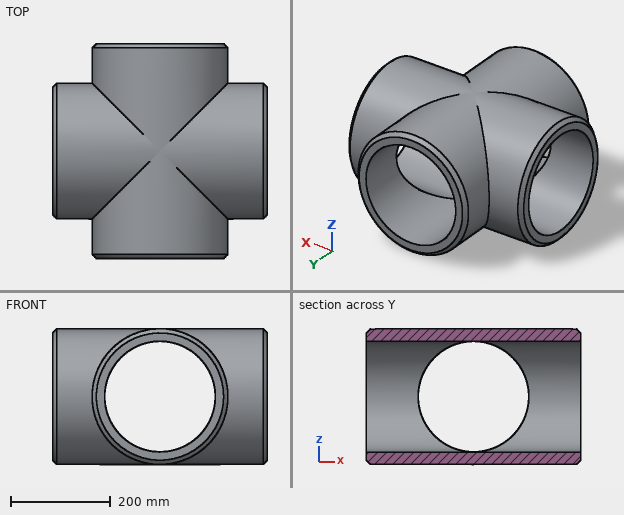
import cadquery as cq

run_length = 432.0
outer_diameter = 273.0
bore_diameter = 222.0
end_chamfer = 8.5

run_planes = ("YZ", "XZ")


def centred_cylinder(plane, diameter):
    """Cylinder of the full run length, normal to the plane and centred on the origin."""
    return cq.Workplane(plane).circle(diameter / 2).extrude(run_length / 2, both=True)


def chamfered_run(plane):
    """Solid round bar with the outer edge of both ends chamfered."""
    return centred_cylinder(plane, outer_diameter).faces("%PLANE").chamfer(end_chamfer)


result = chamfered_run(run_planes[0]).union(chamfered_run(run_planes[1]))
for run_plane in run_planes:
    result = result.cut(centred_cylinder(run_plane, bore_diameter))